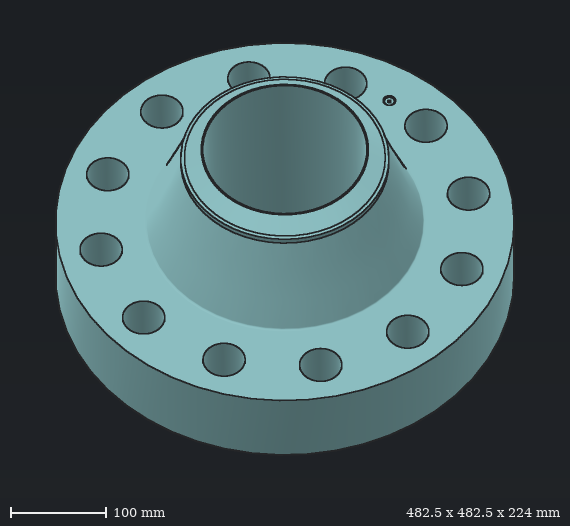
import cadquery as cq
import math

flange_diameter = 482.5
flange_thickness = 91.5
raised_face_diameter = 318.5
raised_face_height = 11.0
overall_height = 224.0
flange_top = raised_face_height + flange_thickness

bolt_count = 12
bolt_circle_radius = 197.0
bolt_hole_diameter = 44.5
bolt_pitch_angle = 360.0 / bolt_count

recess_rim_radius = 6.5
recess_floor_radius = 5.5
recess_depth = 1.2
pilot_radius = 1.7
pilot_depth = 2.5
recess_position_angle = 90.0 + bolt_pitch_angle / 2

bore_radius = 86.5
land_width = 1.6
hub_base_radius = 146.0
hub_end_radius = 109.5
hub_fillet_radius = 3.0
straight_end_length = 20.7
steep_bevel_angle = 37.5
shallow_bevel_angle = 10.0
bevel_break_radius = 105.5

land_radius = bore_radius + land_width
steep_bevel_drop = (bevel_break_radius - land_radius) * math.tan(math.radians(steep_bevel_angle))
shallow_bevel_drop = (hub_end_radius - bevel_break_radius) * math.tan(math.radians(shallow_bevel_angle))
bevel_break_height = overall_height - steep_bevel_drop
bevel_foot_height = bevel_break_height - shallow_bevel_drop
taper_top_height = overall_height - straight_end_length


def make_body():
    """Revolve the half section of the flange, raised face and hub about Z."""
    section = [
        (bore_radius, 0),
        (raised_face_diameter / 2, 0),
        (raised_face_diameter / 2, raised_face_height),
        (flange_diameter / 2, raised_face_height),
        (flange_diameter / 2, flange_top),
        (hub_base_radius, flange_top),
        (hub_end_radius, taper_top_height),
        (hub_end_radius, bevel_foot_height),
        (bevel_break_radius, bevel_break_height),
        (land_radius, overall_height),
        (bore_radius, overall_height),
    ]
    return cq.Workplane("XZ").polyline(section).close().revolve(360, (0, 0), (0, 1))


def round_hub_base(body):
    """Fillet the corner where the hub taper meets the flange face."""
    reach = hub_base_radius + hub_fillet_radius
    half_band = hub_fillet_radius / 2
    corner_band = cq.selectors.BoxSelector(
        (-reach, -reach, flange_top - half_band),
        (reach, reach, flange_top + half_band),
        boundingbox=True,
    )
    return body.edges(corner_band).fillet(hub_fillet_radius)


def make_bolt_holes():
    """Cutters for the evenly spaced through holes."""
    return (
        cq.Workplane("XY")
        .polarArray(bolt_circle_radius, 0, 360, bolt_count)
        .circle(bolt_hole_diameter / 2)
        .extrude(flange_top)
    )


def make_recess():
    """Cutter for the flat-floored recess with sloping wall and a pilot hole in its floor."""
    half_section = [
        (0, 0),
        (recess_rim_radius, 0),
        (recess_floor_radius, -recess_depth),
        (pilot_radius, -recess_depth),
        (pilot_radius, -recess_depth - pilot_depth),
        (0, -recess_depth - pilot_depth),
    ]
    angle = math.radians(recess_position_angle)
    center = (bolt_circle_radius * math.cos(angle), bolt_circle_radius * math.sin(angle), flange_top)
    cutter = cq.Workplane("XZ").polyline(half_section).close().revolve(360, (0, 0), (0, 1))
    return cutter.translate(center)


result = round_hub_base(make_body()).cut(make_bolt_holes()).cut(make_recess())